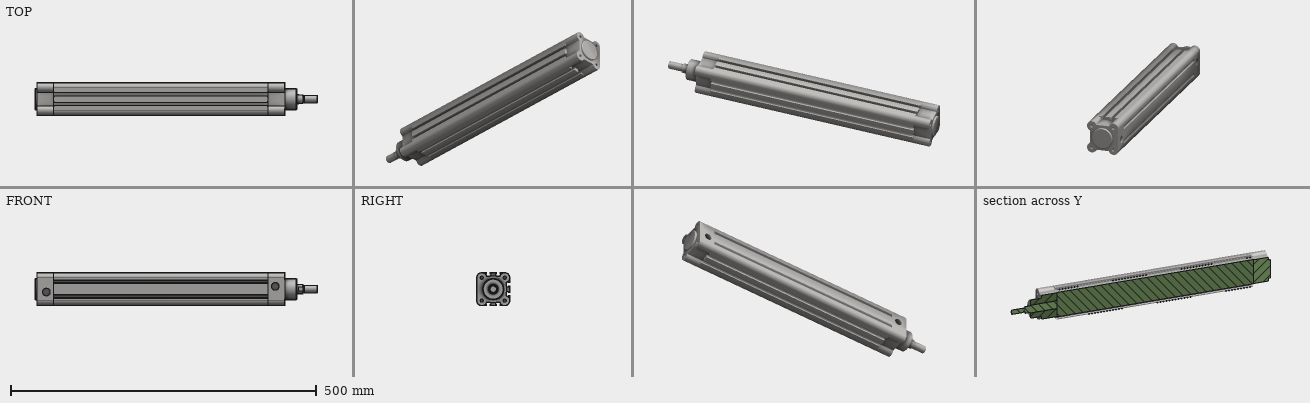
import cadquery as cq
import math


total_length = 463.0
spigot_length = 3.2
cap_length = 28.0
head_cap_end = 409.5
boss_length = 19.5
tube_start = spigot_length + cap_length
tube_end = head_cap_end - cap_length
boss_end = head_cap_end + boss_length

width = 54.0
half_width = width / 2
corner_radius = 8.5
bolt_offset = half_width - corner_radius

notch_depth = 5.5
bolt_hole_diameter = 5.0
bolt_hole_depth = 14.0
collar_diameter = 34.5
collar_chamfer = 1.0
port_diameter = 12.5
port_depth = 14.0
port_inset = 15.7
port_offset = 4.5

slot_center = 8.0
slot_mouth = 5.5
slot_cavity = 8.0
slot_lip = 2.0
slot_taper_start = 3.5
slot_depth = 6.0

front_slot_center = 12.0
front_slot_mouth = 6.0
front_slot_floor = 2.5
front_slot_depth = 3.0

rod_diameter = 15.7
rod_end = 439.0
flat_start = 431.5
flat_spacing = 14.5
neck_diameter = 10.0
thread_diameter = 12.5
thread_start = 440.5
thread_chamfer = 1.0


def cylinder_x(diameter, start, end):
    """Round bar centred on the X axis."""
    return cq.Workplane("YZ", origin=(start, 0, 0)).circle(diameter / 2).extrude(end - start)


def square_bar(start, end):
    """Square bar along X with rounded long edges."""
    bar = cq.Workplane("YZ", origin=(start, 0, 0)).rect(width, width).extrude(end - start)
    return bar.edges("|X").fillet(corner_radius)


def cap_block(start):
    """Cap body: round lobes about the bolts, notched between them on all sides but the front."""
    floor = half_width - notch_depth
    floor_end = bolt_offset - math.sqrt(corner_radius**2 - (floor - bolt_offset) ** 2)
    lobe_tip = bolt_offset + corner_radius * math.sqrt(0.5)
    return (
        cq.Workplane("YZ", origin=(start, 0, 0))
        .moveTo(-half_width, -bolt_offset)
        .lineTo(-half_width, bolt_offset)
        .threePointArc((-bolt_offset, half_width), (-floor_end, floor))
        .lineTo(floor_end, floor)
        .threePointArc((lobe_tip, lobe_tip), (floor, floor_end))
        .lineTo(floor, -floor_end)
        .threePointArc((lobe_tip, -lobe_tip), (floor_end, -floor))
        .lineTo(-floor_end, -floor)
        .threePointArc((-bolt_offset, -half_width), (-half_width, -bolt_offset))
        .close()
        .extrude(cap_length)
    )


def bolt_holes(face_x, depth):
    """Blind bolt holes running along X from a cap face; a negative depth runs toward -X."""
    plane = cq.Workplane("YZ", origin=(face_x, 0, 0))
    holes = plane.rect(2 * bolt_offset, 2 * bolt_offset, forConstruction=True).vertices()
    return holes.circle(bolt_hole_diameter / 2).extrude(depth)


def port(x, z):
    """Blind air port bored into the front face."""
    plane = cq.Workplane("XZ", origin=(x, -half_width, z))
    return plane.circle(port_diameter / 2).extrude(-port_depth)


def make_rear_cap():
    block = cap_block(spigot_length)
    spigot = cylinder_x(collar_diameter, 0, spigot_length).faces("<X").chamfer(collar_chamfer)
    cap = block.union(spigot)
    cap = cap.cut(bolt_holes(spigot_length, bolt_hole_depth))
    return cap.cut(port(spigot_length + port_inset, -port_offset))


def make_head_cap():
    block = cap_block(tube_end)
    boss = cylinder_x(collar_diameter, head_cap_end, boss_end).faces(">X").chamfer(collar_chamfer)
    cap = block.union(boss)
    cap = cap.cut(bolt_holes(head_cap_end, -bolt_hole_depth))
    cap = cap.cut(port(head_cap_end - port_inset, port_offset))
    return cap.cut(cylinder_x(rod_diameter, tube_end, boss_end))


def slot_cutter(center, half_profile):
    """Slot along the tube's top face; half_profile lists (half width, depth) from mouth to floor."""
    one_side = [(center + half, half_width - depth) for half, depth in half_profile]
    other_side = [(center - half, half_width - depth) for half, depth in reversed(half_profile)]
    plane = cq.Workplane("YZ", origin=(tube_start, 0, 0))
    return plane.polyline(one_side + other_side).close().extrude(tube_end - tube_start)


def make_tube():
    tube = square_bar(tube_start, tube_end)
    undercut_profile = [
        (slot_mouth / 2, 0),
        (slot_mouth / 2, slot_lip),
        (slot_cavity / 2, slot_lip),
        (slot_cavity / 2, slot_taper_start),
        (slot_mouth / 2, slot_depth),
    ]
    tapered_profile = [(front_slot_mouth / 2, 0), (front_slot_floor / 2, front_slot_depth)]
    for angle in (0, -90, 180):
        for side in (-1, 1):
            slot = slot_cutter(side * slot_center, undercut_profile)
            tube = tube.cut(slot.rotate((0, 0, 0), (1, 0, 0), angle))
    for side in (-1, 1):
        slot = slot_cutter(side * front_slot_center, tapered_profile)
        tube = tube.cut(slot.rotate((0, 0, 0), (1, 0, 0), 90))
    return tube


def make_rod():
    shank = cylinder_x(rod_diameter, tube_end, rod_end)
    flats = (
        cq.Workplane("XY", origin=(flat_start, 0, 0))
        .box(rod_end - flat_start, flat_spacing, rod_diameter, centered=(False, True, True))
    )
    shank = shank.intersect(cylinder_x(rod_diameter, tube_end, flat_start).union(flats))
    neck = cylinder_x(neck_diameter, rod_end, thread_start)
    thread = cylinder_x(thread_diameter, thread_start, total_length).faces("<X or >X").chamfer(thread_chamfer)
    return shank.union(neck).union(thread)


rear_cap = make_rear_cap()
tube = make_tube()
head_cap = make_head_cap()
rod = make_rod()

result = cq.Compound.makeCompound([rear_cap.val(), tube.val(), head_cap.val(), rod.val()])